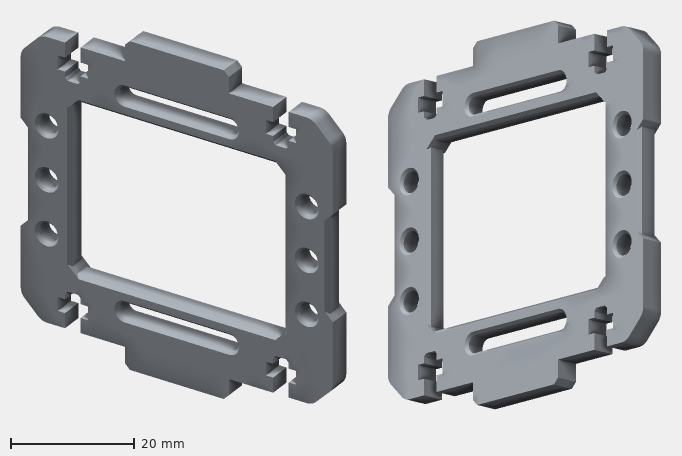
import cadquery as cq

overall_width = 60.0
overall_height = 61
thickness = 4.0
bevel = 0.6
rim_bevel = 0.5

body_height = 53.0
corner_cut = 4.0
corner_blend_radius = 2.5
tab_width = 20.0
tab_chamfer = 1.0

recess_depth = 1.0
recess_mouth = 20.0

window_width = 41.0
window_height = 32.0
window_corner_cut = 1.0
side_bevel_setback = 0.3

strap_slot_width = 3.0
strap_slot_centre_distance = 20.0
strap_slot_offset = 20.0

hole_diameter = 3.6
hole_pitch = 10.0
hole_offset = 25.0

nut_slot_offset = 20.0
screw_slot_width = 3.0
screw_slot_depth = 6.95
screw_slot_end_chamfer = 0.5
nut_pocket_width = 5.8
nut_pocket_height = 2.55
nut_pocket_depth = 2.8


def front_plane():
    return cq.Workplane("XZ")


def through(sketch):
    """Extrude a closed outline through the whole plate, centred on Y = 0."""
    return sketch.extrude(thickness / 2, both=True)


def four_fold(solid):
    """Repeat a shape left to right and top to bottom."""
    pair = solid.union(solid.mirror("YZ"))
    return pair.union(pair.mirror("XY"))


def make_plate():
    body = through(front_plane().rect(overall_width, body_height))
    body = body.edges("|Y").chamfer(corner_cut)
    body = body.edges("|Y").fillet(corner_blend_radius)
    tabs = through(front_plane().rect(tab_width, overall_height))
    tabs = tabs.edges("|Y").chamfer(tab_chamfer)
    return body.union(tabs)


def side_recesses():
    edge = overall_width / 2
    floor = edge - recess_depth
    mouth = recess_mouth / 2
    face = thickness / 2
    full_depth = recess_depth + bevel
    recess_outline = [
        (edge, mouth),
        (edge - full_depth, mouth - full_depth),
        (edge - full_depth, full_depth - mouth),
        (edge, -mouth),
    ]
    floor_section = [
        (edge, face),
        (floor - bevel, face),
        (floor, face - bevel),
        (floor, bevel - face),
        (floor - bevel, -face),
        (edge, -face),
    ]
    across = through(front_plane().polyline(recess_outline).close())
    along = cq.Workplane("XY").polyline(floor_section).close().extrude(mouth, both=True)
    recess = across.intersect(along)
    return recess.union(recess.mirror("YZ"))


def bevelled_through(make_outline, bevel_size):
    """Through cutter with a 45 degree flare at each face.

    make_outline(plane, margin) draws the opening, enlarged all round by the margin.
    """
    cutter = through(make_outline(front_plane(), 0))
    front = make_outline(front_plane().workplane(offset=thickness / 2), bevel_size)
    flare = front.extrude(-bevel_size, taper=45)
    return cutter.union(flare).union(flare.mirror("XZ"))


def window():
    def outline(plane, margin):
        return plane.rect(window_width + 2 * margin, window_height + 2 * margin)

    half_width = window_width / 2
    half_height = window_height / 2
    corner_start = half_height - window_corner_cut
    quarter_outline = [
        (0, 0),
        (half_width + bevel, 0),
        (half_width + bevel, corner_start - side_bevel_setback),
        (half_width + side_bevel_setback, corner_start - side_bevel_setback),
        (half_width - window_corner_cut - bevel, half_height + bevel),
        (0, half_height + bevel),
    ]
    quarter = through(front_plane().polyline(quarter_outline).close())
    limit = four_fold(quarter)
    return bevelled_through(outline, bevel).intersect(limit)


def strap_slots():
    def outline(plane, margin):
        width = strap_slot_width + 2 * margin
        return plane.center(0, strap_slot_offset).slot2D(strap_slot_centre_distance + width, width)

    slot = bevelled_through(outline, rim_bevel)
    return slot.union(slot.mirror("XY"))


def screw_holes():
    def outline(plane, margin):
        return plane.rarray(2 * hole_offset, hole_pitch, 2, 3).circle(hole_diameter / 2 + margin)

    return bevelled_through(outline, rim_bevel)


def nut_slots():
    body_edge = body_height / 2
    plane = front_plane().center(nut_slot_offset, body_edge)
    screw_slot = through(plane.rect(screw_slot_width, 2 * screw_slot_depth))
    screw_slot = screw_slot.edges("|Y").chamfer(screw_slot_end_chamfer)
    pocket_centre = -nut_pocket_depth - nut_pocket_height / 2
    pocket = through(plane.center(0, pocket_centre).rect(nut_pocket_width, nut_pocket_height))
    slot = screw_slot.union(pocket)
    return four_fold(slot)


result = make_plate()
for cutter in (side_recesses(), window(), strap_slots(), screw_holes(), nut_slots()):
    result = result.cut(cutter)